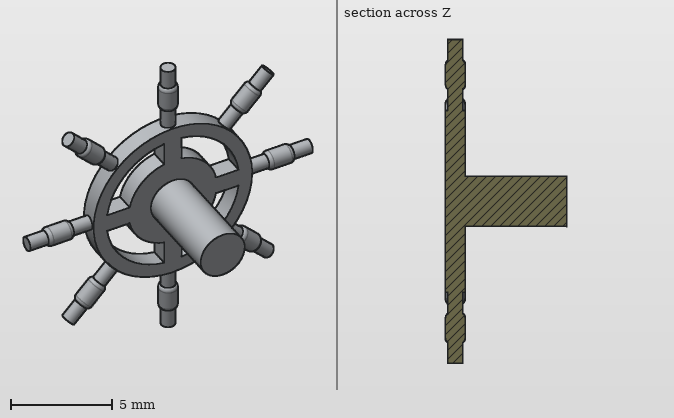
import cadquery as cq

overall_diameter = 16.0
wheel_thickness = 1.0
rim_outer_diameter = 9.0
rim_inner_diameter = 7.5
hub_diameter = 5.0
shaft_diameter = 2.5
shaft_length = 5.0
handle_count = 8
handle_diameter = 0.75
bead_length = 1.5

spoke_width = wheel_thickness
bead_diameter = wheel_thickness
bead_edge_radius = bead_diameter / 4
tip_radius = overall_diameter / 2
rim_outer_radius = rim_outer_diameter / 2
rim_middle_radius = (rim_outer_diameter + rim_inner_diameter) / 4
bead_start_radius = (rim_outer_radius + tip_radius - bead_length) / 2


def disc(diameter):
    """Disc about the X axis, as thick as the wheel and centred on its mid-plane."""
    return cq.Workplane("YZ").circle(diameter / 2).extrude(wheel_thickness / 2, both=True)


def make_wheel():
    """Rim joined to a round hub by two full-width crossing bars."""
    rim = disc(rim_outer_diameter).cut(disc(rim_inner_diameter))
    bar_length = 2 * rim_middle_radius
    bar_y = cq.Workplane("XY").box(wheel_thickness, bar_length, spoke_width)
    bar_z = cq.Workplane("XY").box(wheel_thickness, spoke_width, bar_length)
    return rim.union(disc(hub_diameter)).union(bar_y).union(bar_z)


def make_handle():
    """Handle pointing along +Z, rooted inside the rim, with a rounded bead halfway out."""
    rod = (
        cq.Workplane("XY", origin=(0, 0, rim_middle_radius))
        .circle(handle_diameter / 2)
        .extrude(tip_radius - rim_middle_radius)
    )
    bead = (
        cq.Workplane("XY", origin=(0, 0, bead_start_radius))
        .circle(bead_diameter / 2)
        .extrude(bead_length)
        .faces("<Z or >Z")
        .edges()
        .fillet(bead_edge_radius)
    )
    return rod.union(bead)


def make_shaft():
    """Plain shaft behind the wheel, on the +X side."""
    return (
        cq.Workplane("YZ", origin=(wheel_thickness / 2, 0, 0))
        .circle(shaft_diameter / 2)
        .extrude(shaft_length)
    )


result = make_wheel().union(make_shaft())
handle = make_handle()
for index in range(handle_count):
    angle = index * 360 / handle_count
    result = result.union(handle.rotate((0, 0, 0), (1, 0, 0), angle))